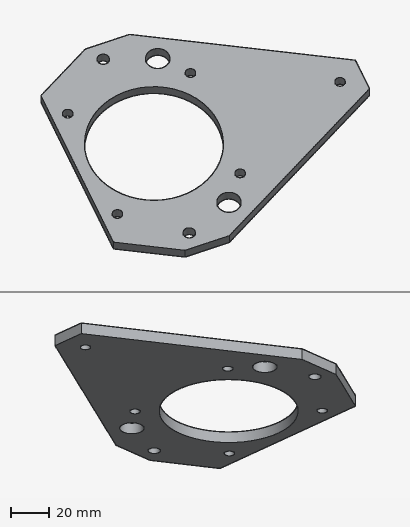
import cadquery as cq
import math

thickness = 6.3
length = 162.0
half_width = 139.7 / 2
bottom_y = -43.5
top_y = bottom_y + length
bottom_half_width = 50.8
top_half_width = 9.9
edge_slope = math.tan(math.radians(60))

bore_diameter = 73.0
mount_spacing = 69.6
small_hole_diameter = 5.5
apex_hole_y = 105.5
side_hole_diameter = 6.5
side_hole_x = 60.2
side_hole_y = -4.4
large_hole_diameter = 12.8
large_hole_x = 49.9
large_hole_y = 22.3

lower_corner_y = bottom_y + (half_width - bottom_half_width) * edge_slope
upper_corner_y = top_y - (half_width - top_half_width) * edge_slope


def mirrored_pair(x, y):
    return [(-x, y), (x, y)]


def cut_holes(plate, points, diameter):
    cutters = cq.Workplane("XY").pushPoints(points).circle(diameter / 2).extrude(thickness)
    return plate.cut(cutters)


right_outline = [
    (bottom_half_width, bottom_y),
    (half_width, lower_corner_y),
    (half_width, upper_corner_y),
    (top_half_width, top_y),
]
left_outline = [(-x, y) for x, y in reversed(right_outline)]
plate = cq.Workplane("XY").polyline(right_outline + left_outline).close().extrude(thickness)

plate = cut_holes(plate, [(0, 0)], bore_diameter)
mount_offset = mount_spacing / 2
mount_points = mirrored_pair(mount_offset, mount_offset) + mirrored_pair(mount_offset, -mount_offset)
plate = cut_holes(plate, mount_points + [(0, apex_hole_y)], small_hole_diameter)

plate = cut_holes(plate, mirrored_pair(side_hole_x, side_hole_y), side_hole_diameter)
plate = cut_holes(plate, mirrored_pair(large_hole_x, large_hole_y), large_hole_diameter)

result = plate